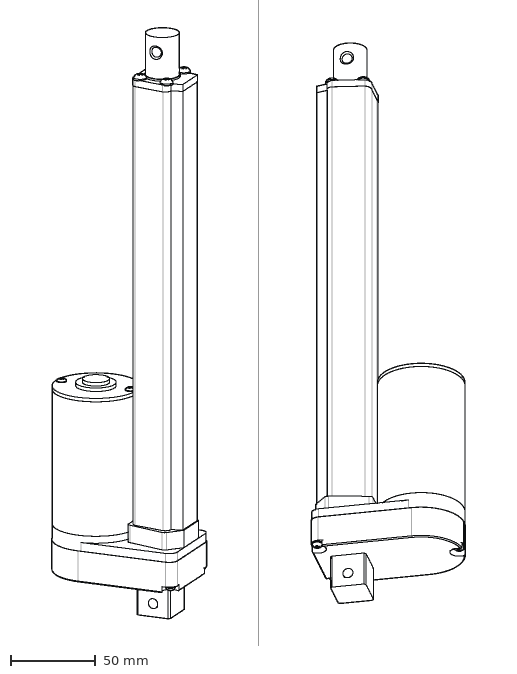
import cadquery as cq
import math

TOTAL_HEIGHT = 358.5
JOIN_OVERLAP = 0.5

RIM_RATIO = 0.25
RECESS_LENGTH_RATIO = 0.4
RECESS_WIDTH_RATIO = 0.12
RECESS_DEPTH_RATIO = 0.3

CASE_DIAMETER = 52.5
CASE_RADIUS = CASE_DIAMETER / 2
CASE_RIGHT = 62.0
CASE_CORNER_RADIUS = 5.5
CASE_BOTTOM = 20.5
CASE_SPLIT = 39.8
CASE_TOP = 45.0
CASE_EDGE_CHAMFER = 0.7
DECK_INSET = 0.25

CASE_SCREW_PLACES = [(-23.0, 0), (58.0, 22.2), (58.0, -22.2)]
COUNTERBORE_DIAMETER = 10.8
COUNTERBORE_DEPTH = 4.0
CASE_SCREW_DIAMETER = 6.0
CASE_SCREW_HEIGHT = 3.0

GROOVE_WIDTH = 1.0
GROOVE_DEPTH = 0.5

MOTOR_RING_DIAMETER = 52.0
MOTOR_CAN_DIAMETER = MOTOR_RING_DIAMETER - 0.15
MOTOR_CAN_BOTTOM = 49.5
MOTOR_CAP_BOTTOM = 132.5
MOTOR_CAP_TOP = 134.8
BOSS_BASE_DIAMETER = 24.0
BOSS_BASE_TOP = 137.0
BOSS_TIP_DIAMETER = 16.0
BOSS_TIP_TOP = 139.0
MOTOR_SCREW_OFFSET = 22.2
MOTOR_SCREW_DIAMETER = 6.0
MOTOR_SCREW_HEIGHT = 1.8

COLLAR_TOP = 56.0
COLLAR_LEFT = 26.5
COLLAR_LEFT_HALF_WIDTH = 12.2
COLLAR_CORNER_MIDDLE = (27.0, 13.5)
COLLAR_FLANK_START = (28.5, 14.5)
COLLAR_FLANK_END = (51.5, 20.0)
COLLAR_PEAK = (53.0, 20.0)
COLLAR_SLOPE_START = (54.0, 19.5)
COLLAR_RIGHT = 61.5
COLLAR_RIGHT_HALF_WIDTH = 10.8

TUBE_LEFT = 28.5
TUBE_LEFT_HALF_WIDTH = 7.0
TUBE_CORNER_MIDDLE = (29.0, 11.5)
TUBE_FLANK_START = (31.2, 13.3)
TUBE_FLANK_END = (50.5, 16.5)
TUBE_SHOULDER_MIDDLE = (53.0, 15.5)
TUBE_SHOULDER_END = (54.0, 12.5)
TUBE_RIGHT = 61.0
TUBE_RIGHT_HALF_WIDTH = 10.8
TUBE_CAP_BOTTOM = 327.3
TUBE_CAP_TOP = 331.5
CAP_OVERHANG = 0.07
CAP_SCREW_PLACES = [(33.0, 10.0), (51.3, 12.5), (33.0, -10.0), (51.3, -12.5)]
CAP_SCREW_DIAMETER = 8.0
CAP_SCREW_HEIGHT = 3.0

ROD_X = 43.0
ROD_DIAMETER = 20.0
GLAND_DIAMETER = 21.0
GLAND_HEIGHT = 1.0
ROD_HOLE_DIAMETER = 6.0
ROD_HOLE_Z = 348.8
ROD_HOLE_CHAMFER = 1.0

LUG_X = 42.0
LUG_LENGTH = 21.5
LUG_WIDTH = 22.5
LUG_CORNER_CHAMFER = 1.0
LUG_HOLE_DIAMETER = 6.0
LUG_HOLE_Z = 8.2


def cylinder(diameter, bottom, top, x=0, y=0):
    """Upright cylinder between two heights."""
    return cq.Workplane("XY", origin=(x, y, bottom)).circle(diameter / 2).extrude(top - bottom)


def cross_bore(diameter, x, z):
    """Cutter along Y, long enough to pass through the whole part."""
    return cq.Workplane("XZ", origin=(x, 0, z)).circle(diameter / 2).extrude(CASE_DIAMETER, both=True)


def screw_head(x, y, seat, diameter, height):
    """Domed screw head with a cross recess."""
    radius = diameter / 2
    rim = RIM_RATIO * height
    shoulder = (radius * math.cos(math.pi / 4), rim + (height - rim) * math.sin(math.pi / 4))
    head = (
        cq.Workplane("XZ")
        .moveTo(0, -JOIN_OVERLAP)
        .lineTo(radius, -JOIN_OVERLAP)
        .lineTo(radius, rim)
        .threePointArc(shoulder, (0, height))
        .close()
        .revolve(360, (0, 0), (0, 1))
    )
    slot_length = RECESS_LENGTH_RATIO * diameter
    slot_width = RECESS_WIDTH_RATIO * diameter
    slot_depth = RECESS_DEPTH_RATIO * height
    for length_x, length_y in [(slot_length, slot_width), (slot_width, slot_length)]:
        slot = cq.Workplane("XY", origin=(0, 0, height - slot_depth)).rect(length_x, length_y)
        head = head.cut(slot.extrude(height))
    return head.translate((x, y, seat))


def case_layer(bottom, top, inset):
    """Slab with a round end about the motor axis and a square end with rounded corners."""
    radius = CASE_RADIUS - inset
    right = CASE_RIGHT - inset
    diagonal = radius * math.sqrt(0.5)
    return (
        cq.Workplane("XY", origin=(0, 0, bottom))
        .moveTo(0, radius)
        .threePointArc((-diagonal, diagonal), (-radius, 0))
        .threePointArc((-diagonal, -diagonal), (0, -radius))
        .lineTo(right, -radius)
        .lineTo(right, radius)
        .close()
        .extrude(top - bottom)
        .edges("|Z and >X")
        .fillet(CASE_CORNER_RADIUS)
    )


def make_case():
    lower = case_layer(CASE_BOTTOM, CASE_SPLIT, 0).faces("<Z").chamfer(CASE_EDGE_CHAMFER)
    for x, y in CASE_SCREW_PLACES:
        seat = CASE_BOTTOM + COUNTERBORE_DEPTH
        lower = lower.cut(cylinder(COUNTERBORE_DIAMETER, CASE_BOTTOM, seat, x, y))
        head = screw_head(0, 0, 0, CASE_SCREW_DIAMETER, CASE_SCREW_HEIGHT)
        lower = lower.union(head.rotate((0, 0, 0), (1, 0, 0), 180).translate((x, y, seat)))
    groove = cq.Workplane("XY", origin=(-CASE_RADIUS, 0, CASE_BOTTOM)).rect(2 * GROOVE_DEPTH, GROOVE_WIDTH)
    lower = lower.cut(groove.extrude(CASE_SPLIT - CASE_BOTTOM))
    return lower.union(case_layer(CASE_SPLIT, CASE_TOP, DECK_INSET))


def make_motor():
    motor = cylinder(MOTOR_RING_DIAMETER, CASE_SPLIT, MOTOR_CAN_BOTTOM)
    motor = motor.union(cylinder(MOTOR_CAN_DIAMETER, MOTOR_CAN_BOTTOM, MOTOR_CAP_BOTTOM))
    motor = motor.union(cylinder(MOTOR_RING_DIAMETER, MOTOR_CAP_BOTTOM, MOTOR_CAP_TOP))
    motor = motor.union(cylinder(BOSS_BASE_DIAMETER, MOTOR_CAP_TOP, BOSS_BASE_TOP))
    motor = motor.union(cylinder(BOSS_TIP_DIAMETER, BOSS_BASE_TOP, BOSS_TIP_TOP))
    for x in (-MOTOR_SCREW_OFFSET, MOTOR_SCREW_OFFSET):
        motor = motor.union(screw_head(x, 0, MOTOR_CAP_TOP, MOTOR_SCREW_DIAMETER, MOTOR_SCREW_HEIGHT))
    return motor


def mirrored(half):
    """Join a half body on the +Y side with its mirror image."""
    return half.union(half.mirror("XZ"))


def tube_layer(bottom, top, overhang):
    """Tube section: flat left side, flanks widening to the right, shoulders set in to a narrow right side."""
    half = (
        cq.Workplane("XY", origin=(0, 0, bottom))
        .moveTo(TUBE_LEFT, 0)
        .lineTo(TUBE_LEFT, TUBE_LEFT_HALF_WIDTH)
        .threePointArc(TUBE_CORNER_MIDDLE, TUBE_FLANK_START)
        .lineTo(*TUBE_FLANK_END)
        .threePointArc(TUBE_SHOULDER_MIDDLE, TUBE_SHOULDER_END)
        .lineTo(TUBE_RIGHT, TUBE_RIGHT_HALF_WIDTH)
        .lineTo(TUBE_RIGHT, 0)
        .close()
    )
    if overhang:
        half = half.offset2D(overhang, "intersection")
    return mirrored(half.extrude(top - bottom))


def make_collar():
    half = (
        cq.Workplane("XY", origin=(0, 0, CASE_TOP - JOIN_OVERLAP))
        .moveTo(COLLAR_LEFT, 0)
        .lineTo(COLLAR_LEFT, COLLAR_LEFT_HALF_WIDTH)
        .threePointArc(COLLAR_CORNER_MIDDLE, COLLAR_FLANK_START)
        .lineTo(*COLLAR_FLANK_END)
        .threePointArc(COLLAR_PEAK, COLLAR_SLOPE_START)
        .lineTo(COLLAR_RIGHT, COLLAR_RIGHT_HALF_WIDTH)
        .lineTo(COLLAR_RIGHT, 0)
        .close()
        .extrude(COLLAR_TOP - CASE_TOP + JOIN_OVERLAP)
    )
    return mirrored(half)


def make_tube():
    tube = tube_layer(CASE_TOP - JOIN_OVERLAP, TUBE_CAP_BOTTOM, 0)
    tube = tube.union(tube_layer(TUBE_CAP_BOTTOM, TUBE_CAP_TOP, CAP_OVERHANG))
    for x, y in CAP_SCREW_PLACES:
        tube = tube.union(screw_head(x, y, TUBE_CAP_TOP, CAP_SCREW_DIAMETER, CAP_SCREW_HEIGHT))
    return tube


def make_rod():
    rod = cylinder(ROD_DIAMETER, TUBE_CAP_TOP - JOIN_OVERLAP, TOTAL_HEIGHT, ROD_X)
    rod = rod.cut(cross_bore(ROD_HOLE_DIAMETER, ROD_X, ROD_HOLE_Z))
    rod = rod.edges("(not >Z) and (not <Z) and (not |Z) and (not |Y)").chamfer(ROD_HOLE_CHAMFER)
    return rod.union(cylinder(GLAND_DIAMETER, TUBE_CAP_TOP - JOIN_OVERLAP, TUBE_CAP_TOP + GLAND_HEIGHT, ROD_X))


def make_lug():
    lug = (
        cq.Workplane("XY", origin=(LUG_X, 0, 0))
        .rect(LUG_LENGTH, LUG_WIDTH)
        .extrude(CASE_BOTTOM + JOIN_OVERLAP)
        .edges("|Z")
        .chamfer(LUG_CORNER_CHAMFER)
    )
    return lug.cut(cross_bore(LUG_HOLE_DIAMETER, LUG_X, LUG_HOLE_Z))


result = make_case()
for body in (make_motor(), make_collar(), make_tube(), make_rod(), make_lug()):
    result = result.union(body)